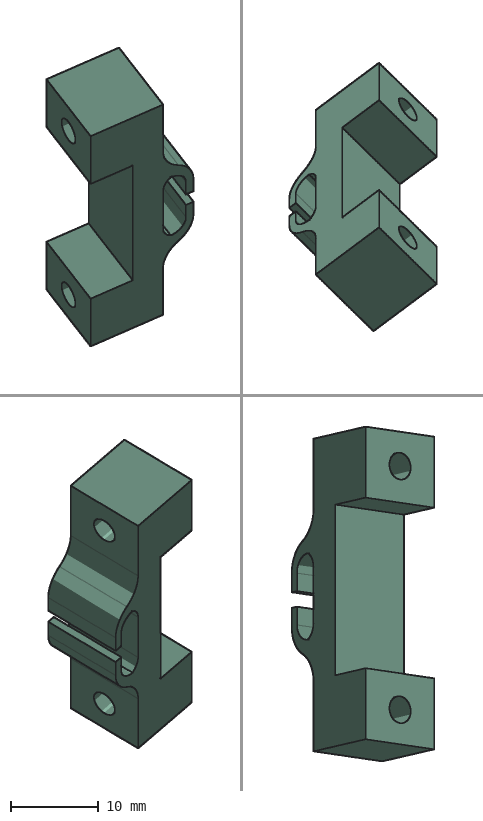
import cadquery as cq
import math

width = 10.0
height = 36.2
lug_depth = 5.55
plate_thickness = 4.0
lug_gap = 19.75

hole_diameter = 3.1
hole_inset = 4.0

clip_depth = 4.0
clip_wall = 1.0
clip_gap = 1.8
shoulder_radius = 4.0
shoulder_end = 10.0
opening_straight = 3.0
opening_radius = 2.0

hole_spacing = height - 2 * hole_inset
plate_back = lug_depth + plate_thickness
clip_back = plate_back + clip_depth
clip_inside = clip_back - clip_wall
shoulder_run = clip_depth / 2
clip_middle = plate_back + shoulder_run
opening_half_height = opening_straight + opening_radius


def rise(radius, run):
    """Height gained by an arc that starts vertical and moves sideways by run."""
    return math.sqrt(radius**2 - (radius - run)**2)


def bend_point(wall, toward, radius, run, start, direction):
    """Point part-way along an arc that leaves a vertical wall at height start."""
    half_run = run / 2
    return (wall + toward * half_run, start + direction * rise(radius, half_run))


def make_body():
    body = cq.Workplane("XY").box(width, plate_back, height, centered=(True, False, True))
    notch = cq.Workplane("XY").box(width, lug_depth, lug_gap, centered=(True, False, True))
    return body.cut(notch)


def make_upper_clip():
    shoulder_rise = rise(shoulder_radius, shoulder_run)
    shoulder_middle = shoulder_end - shoulder_rise
    shoulder_start = shoulder_middle - shoulder_rise

    peak_y = clip_inside - opening_radius
    plate_run = peak_y - plate_back
    plate_start = opening_half_height - rise(opening_radius, plate_run)

    profile = (
        cq.Workplane("YZ", origin=(-width / 2, 0, 0))
        .moveTo(clip_inside, clip_gap / 2)
        .lineTo(clip_back, clip_gap / 2)
        .lineTo(clip_back, shoulder_start)
        .threePointArc(
            bend_point(clip_back, -1, shoulder_radius, shoulder_run, shoulder_start, 1),
            (clip_middle, shoulder_middle),
        )
        .threePointArc(
            bend_point(plate_back, 1, shoulder_radius, shoulder_run, shoulder_end, -1),
            (plate_back, shoulder_end),
        )
        .lineTo(plate_back, plate_start)
        .threePointArc(
            bend_point(plate_back, 1, opening_radius, plate_run, plate_start, 1),
            (peak_y, opening_half_height),
        )
        .threePointArc(
            bend_point(clip_inside, -1, opening_radius, opening_radius, opening_straight, 1),
            (clip_inside, opening_straight),
        )
        .close()
    )
    return profile.extrude(width)


def make_screw_holes():
    return (
        cq.Workplane("XZ")
        .pushPoints([(0, -hole_spacing / 2), (0, hole_spacing / 2)])
        .circle(hole_diameter / 2)
        .extrude(-plate_back)
    )


upper_clip = make_upper_clip()
lower_clip = upper_clip.mirror("XY")
result = make_body().union(upper_clip).union(lower_clip).cut(make_screw_holes())